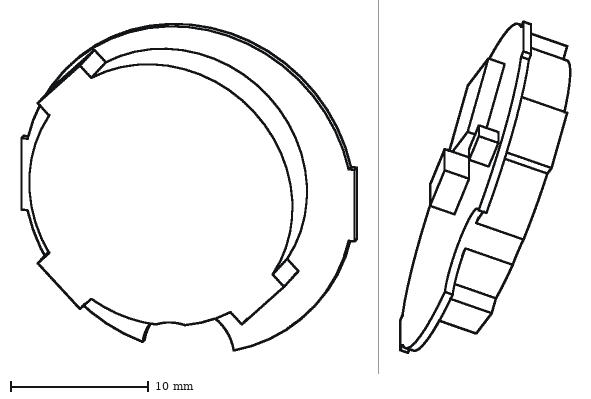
import cadquery as cq

board_radius = 12.5
board_thickness = 0.6
side_tab_span = 25.3
side_tab_height = 5.5
notch_radius = 3.5

holder_radius = 10.0
holder_depth = 3.7
holder_x = -0.95
holder_z = 0.7
lug_width = 4.53
lug_reach = 10.95
lug_angles = (135, 225, 315)

chip_side = 6.02
chip_height = 1.26
chip_x = -4.55
chip_z = 3.26
chip_angle = 45
connector_width = 3.0
connector_length = 3.92
connector_height = 1.9
sensor_side = 2.0
sensor_height = 1.52
sensor_x = -6.53
sensor_z = -7.46


def face_plane(x, y, z):
    """Sketch plane whose local axes are X and Z, extruding toward -Y."""
    return cq.Workplane("XZ", origin=(x, y, z))


def make_board():
    disc = face_plane(0, board_thickness, 0).circle(board_radius).extrude(board_thickness)
    tabs = face_plane(0, board_thickness, 0).rect(side_tab_span, side_tab_height).extrude(board_thickness)
    return disc.union(tabs)


def make_holder():
    holder = face_plane(holder_x, 0, holder_z).circle(holder_radius).extrude(holder_depth)
    for angle in lug_angles:
        lug = (
            face_plane(holder_x, 0, holder_z)
            .transformed(rotate=(0, 0, angle))
            .center(lug_reach / 2, 0)
            .rect(lug_reach, lug_width)
            .extrude(holder_depth)
        )
        holder = holder.union(lug)
    return holder


def make_component(x, z, width, length, height, angle=0):
    """Rectangular block standing on the back face of the board."""
    return (
        face_plane(x, board_thickness, z)
        .transformed(rotate=(0, 0, angle))
        .rect(width, length)
        .extrude(-height)
    )


def make_notch():
    """Round cutter centred on the bottom edge of the board, through board and holder."""
    cut_depth = board_thickness + holder_depth
    return face_plane(0, board_thickness, -board_radius).circle(notch_radius).extrude(cut_depth)


chip = make_component(chip_x, chip_z, chip_side, chip_side, chip_height, chip_angle)
connector = make_component(0, 0, connector_width, connector_length, connector_height)
sensor = make_component(sensor_x, sensor_z, sensor_side, sensor_side, sensor_height)

result = make_board().union(make_holder()).cut(make_notch())
result = result.union(chip).union(connector).union(sensor)